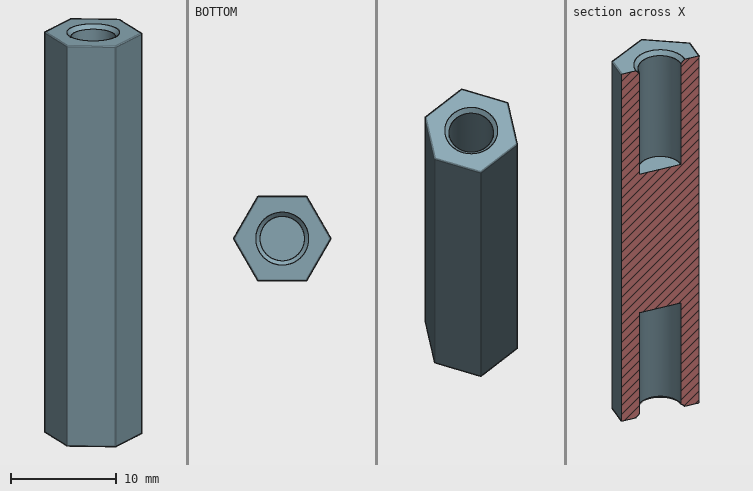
import cadquery as cq
import math

length = 40.0
across_flats = 8.0
across_corners = across_flats / math.cos(math.pi / 6)
edge_round = 0.1

hole_diameter = 4.2
mouth_diameter = 5.0
hole_depth = 12.0
mouth_depth = (mouth_diameter - hole_diameter) / 2


def hex_body():
    """Hexagonal bar centred on the origin with all its edges lightly rounded."""
    bar = cq.Workplane("XY").polygon(6, across_corners).extrude(length / 2, both=True)
    return bar.edges().fillet(edge_round)


def drill_end(body, face):
    """Cut a blind hole in one end face and chamfer its mouth."""
    return (
        body.faces(face)
        .workplane(origin=(0, 0, 0))
        .circle(hole_diameter / 2)
        .cutBlind(-hole_depth)
        .faces(face)
        .edges("%CIRCLE")
        .chamfer(mouth_depth)
    )


result = hex_body()
for end_face in (">Z", "<Z"):
    result = drill_end(result, end_face)